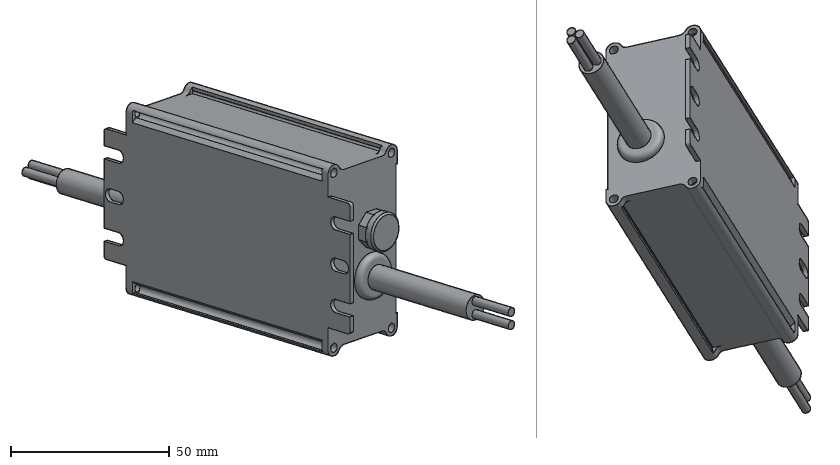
import cadquery as cq
import math

overall_length = 209.2
case_length = 87.6
case_depth = 32.0
case_height = 64.0
end_plate_thickness = 2.7

boss_radius = 2.7
screw_radius = 1.5
front_root_radius = 2.7
rear_root_radius = 2.0
rear_pad_height = 7.1
rear_recess_depth = 0.6

rear_lip_reach = 1.57
rear_slot_height = 1.0
front_channel_shift = 0.6
front_lip_offset = 1.3
front_ramp_top = 1.0
front_ramp_bottom = 2.7

flange_length = 106.7
flange_height = 43.7
flange_thickness = 1.57
flange_corner_radius = 1.0
slot_width = 4.4
slot_spacing = 13.8
slot_inner_x = 45.0
slot_outer_x = 52.7

cable_y = 4.0
cable_z = -9.5
cable_radius = 4.2
wire_radius = 1.5
wire_length = 15.7
three_wire_radius = 1.9
two_wire_offset = 2.2
gland_radius = 7.7
gland_thickness = 2.5
gland_fillet = 1.7

vent_z = 6.5
vent_body_thickness = 3.5
vent_body_flat = 11.7
vent_body_sides = 8
vent_cap_radius = 6.5
vent_cap_thickness = 3.0
vent_cap_chamfer = 0.6

case_end = case_length / 2
front_y = -case_depth / 2
rear_y = case_depth / 2
wall_z = case_height / 2 - boss_radius
front_boss_y = front_y + boss_radius
rear_boss_y = rear_y - boss_radius
core_length = case_length - 2 * end_plate_thickness
strip_x = overall_length / 2 - wire_length


def box(x_range, y_range, z_range):
    """Box between the given pairs of limits."""
    size = [high - low for low, high in (x_range, y_range, z_range)]
    corner = (x_range[0], y_range[0], z_range[0])
    return cq.Workplane("XY").box(*size, centered=False).translate(corner)


def rod(y, z, radius, x_start, x_end):
    """Round bar along X."""
    return cq.Workplane("YZ", origin=(x_start, y, z)).circle(radius).extrude(x_end - x_start)


def upper_and_lower(shape):
    """The upper shape together with its mirrored lower copy."""
    return shape.union(shape.mirror("XY"))


def root_fillet(boss_y, inward, root_radius):
    """Solid that blends the inner side of a boss into the wall beside it."""
    reach = math.sqrt((boss_radius + root_radius) ** 2 - root_radius**2)
    arc_y = boss_y + inward * reach
    touch = boss_radius / (boss_radius + root_radius)
    touch_point = (boss_y + inward * reach * touch, wall_z + root_radius * touch)
    angle = (math.atan2(-root_radius, -reach) - math.pi / 2) / 2
    middle = (
        arc_y + inward * root_radius * math.cos(angle),
        wall_z + root_radius + root_radius * math.sin(angle),
    )
    return (
        cq.Workplane("YZ", origin=(-case_end, 0, 0))
        .moveTo(boss_y, wall_z)
        .lineTo(arc_y, wall_z)
        .threePointArc(middle, touch_point)
        .close()
        .extrude(case_length)
    )


def case_blank():
    """Full-length case with four corner bosses and a recessed rear wall."""
    x_range = (-case_end, case_end)
    bosses = ((front_boss_y, 1, front_root_radius), (rear_boss_y, -1, rear_root_radius))
    blank = box(x_range, (front_y, rear_y), (-wall_z, wall_z))
    for boss_y, inward, root_radius in bosses:
        boss = rod(boss_y, wall_z, boss_radius, *x_range)
        boss = boss.union(root_fillet(boss_y, inward, root_radius))
        blank = blank.union(upper_and_lower(boss))
    recess_z = case_height / 2 - rear_pad_height
    recess = box(x_range, (rear_y - rear_recess_depth, rear_y), (-recess_z, recess_z))
    return blank.cut(recess)


def rear_channel():
    """Screw channel that opens inward beside the rear boss, above the wall."""
    x_range = (-core_length / 2, core_length / 2)
    clear_y = rear_boss_y - boss_radius - 2 * rear_root_radius
    top_z = case_height / 2
    slot = box(x_range, (clear_y, rear_boss_y), (wall_z, wall_z + rear_slot_height))
    trim = box(x_range, (clear_y, rear_boss_y - rear_lip_reach), (wall_z, top_z))
    return slot.union(trim)


def front_channel():
    """Screw channel that opens through the front face, with a sloping lower side."""
    channel_y = front_boss_y - front_channel_shift
    ramp = (
        cq.Workplane("YZ", origin=(-core_length / 2, 0, 0))
        .moveTo(channel_y, wall_z + front_lip_offset)
        .lineTo(front_y, wall_z + front_lip_offset)
        .lineTo(front_y, wall_z - front_ramp_bottom)
        .lineTo(channel_y, wall_z - front_ramp_top)
        .close()
        .extrude(core_length)
    )
    return ramp.union(rod(channel_y, wall_z, screw_radius, -core_length / 2, core_length / 2))


def case():
    """Case with screw channels in its middle and screw holes in its end plates."""
    body = case_blank()
    body = body.cut(upper_and_lower(rear_channel()))
    body = body.cut(upper_and_lower(front_channel()))
    body = body.cut(upper_and_lower(rod(rear_boss_y, wall_z, screw_radius, -case_end, case_end)))
    for plate_start in (-case_end, core_length / 2):
        hole = rod(front_boss_y, wall_z, screw_radius, plate_start, plate_start + end_plate_thickness)
        body = body.cut(upper_and_lower(hole))
    return body


def flange():
    """Mounting flange, with an open slot above and below a closed slot at each end."""
    plate = cq.Workplane("XY").box(flange_length, flange_thickness, flange_height)
    plate = plate.edges("|Y").fillet(flange_corner_radius)
    slot_length = slot_outer_x - slot_inner_x
    slot_x = (slot_outer_x + slot_inner_x) / 2
    open_length = flange_length / 2 - slot_x
    for side in (-1, 1):
        for row in (-1, 0, 1):
            place = (side * slot_x, 0, row * slot_spacing)
            slot = (
                cq.Workplane("XZ", origin=place)
                .slot2D(slot_length, slot_width)
                .extrude(flange_thickness, both=True)
            )
            plate = plate.cut(slot)
            if row != 0:
                mouth = cq.Workplane("XY").box(open_length, flange_thickness, slot_width)
                plate = plate.cut(mouth.translate(place).translate((side * open_length / 2, 0, 0)))
    return plate.translate((0, front_y + flange_thickness / 2, 0))


def gland_and_cable():
    """Cable with its gland on the +X end of the case."""
    gland = rod(cable_y, cable_z, gland_radius, case_end, case_end + gland_thickness)
    gland = gland.faces(">X").edges().fillet(gland_fillet)
    return gland.union(rod(cable_y, cable_z, cable_radius, case_end, strip_x))


def wires():
    """Two wires at the +X end and three at the -X end."""
    group = []
    for side in (-1, 1):
        wire_z = cable_z + side * two_wire_offset
        group.append(rod(cable_y, wire_z, wire_radius, strip_x, overall_length / 2))
    for index in range(3):
        angle = math.pi + index * 2 * math.pi / 3
        wire_y = cable_y + three_wire_radius * math.cos(angle)
        wire_z = cable_z + three_wire_radius * math.sin(angle)
        group.append(rod(wire_y, wire_z, wire_radius, -overall_length / 2, -strip_x))
    return group


def vent_plug():
    """Vent with an eight-sided body and a round cap on the +X end of the case."""
    body = (
        cq.Workplane("YZ", origin=(case_end, cable_y, vent_z))
        .polygon(vent_body_sides, vent_body_flat, circumscribed=True)
        .extrude(vent_body_thickness)
    )
    cap_start = case_end + vent_body_thickness
    cap = rod(cable_y, vent_z, vent_cap_radius, cap_start, cap_start + vent_cap_thickness)
    cap = cap.faces(">X").edges().chamfer(vent_cap_chamfer)
    return body.union(cap)


result = case().union(flange())
cable = gland_and_cable()
result = result.union(cable).union(cable.mirror("YZ"))
for wire in wires():
    result = result.union(wire)
result = result.union(vent_plug())